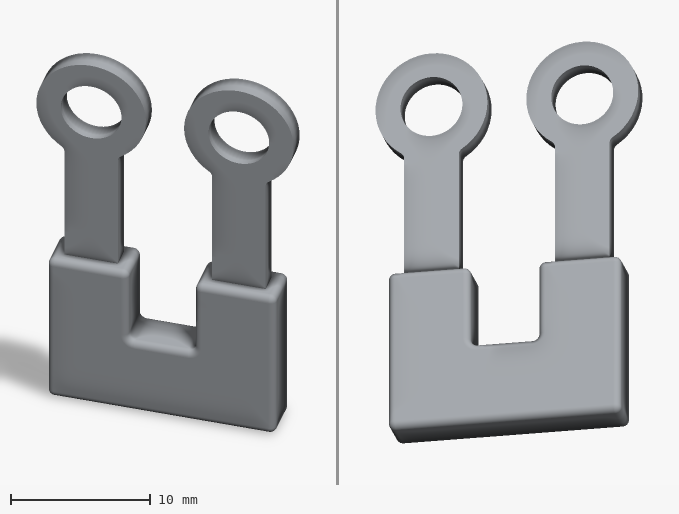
import cadquery as cq

TOTAL_HEIGHT = 29.0

HOUSING_WIDTH = 17.0
HOUSING_DEPTH = 3.5
HOUSING_HEIGHT = 12.0
SLOT_WIDTH = 5.0
SLOT_DEPTH = HOUSING_HEIGHT / 2
EDGE_RADIUS = 0.5

TERMINAL_SPACING = 11.02
TERMINAL_THICKNESS = 1.5
STRAP_WIDTH = 4.0
RING_RADIUS = 4.1
HOLE_RADIUS = 2.25
NECK_RADIUS = 0.5
RING_HEIGHT = TOTAL_HEIGHT - RING_RADIUS


def make_housing():
    """Block with an open slot between the terminals and all its edges rounded."""
    block = cq.Workplane("XY").box(
        HOUSING_WIDTH, HOUSING_DEPTH, HOUSING_HEIGHT, centered=(True, True, False)
    )
    slot = (
        cq.Workplane("XY")
        .workplane(offset=HOUSING_HEIGHT - SLOT_DEPTH)
        .box(SLOT_WIDTH, HOUSING_DEPTH, SLOT_DEPTH, centered=(True, True, False))
        .edges("|Y and <Z")
        .fillet(EDGE_RADIUS)
    )
    return block.cut(slot).edges("<Y or >Y or |Y").fillet(EDGE_RADIUS)


def make_disc(center_x, radius):
    """Disc as thick as a terminal, with its axis along Y at the ring centre."""
    return (
        cq.Workplane("XZ", origin=(center_x, TERMINAL_THICKNESS / 2, RING_HEIGHT))
        .circle(radius)
        .extrude(TERMINAL_THICKNESS)
    )


def make_terminal(center_x):
    """Strap resting on the housing top, blended into a ring with a through hole."""
    strap = cq.Workplane("XY", origin=(center_x, 0, HOUSING_HEIGHT)).box(
        STRAP_WIDTH, TERMINAL_THICKNESS, RING_HEIGHT - HOUSING_HEIGHT, centered=(True, True, False)
    )
    neck_edges = cq.selectors.BoxSelector(
        (center_x - STRAP_WIDTH, -TERMINAL_THICKNESS, HOUSING_HEIGHT + STRAP_WIDTH),
        (center_x + STRAP_WIDTH, TERMINAL_THICKNESS, RING_HEIGHT - HOLE_RADIUS),
    )
    blank = make_disc(center_x, RING_RADIUS).union(strap)
    blank = blank.edges("|Y").edges(neck_edges).fillet(NECK_RADIUS)
    return blank.cut(make_disc(center_x, HOLE_RADIUS))


housing = make_housing()
terminals = [make_terminal(side * TERMINAL_SPACING / 2) for side in (-1, 1)]

result = cq.Compound.makeCompound(
    [housing.val(), *[terminal.val() for terminal in terminals]]
)